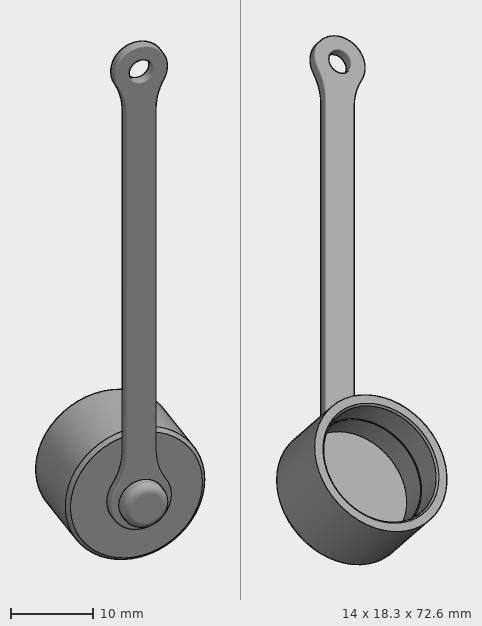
import cadquery as cq
import math

cap_diameter = 18.26
cap_length = 10.4
cap_end_chamfer = 0.5
bore_diameter = 15.2
bore_depth = 7.6
counterbore_diameter = 15.5
counterbore_depth = 4.0
mouth_chamfer = 0.25

strap_thickness = 1.5
strap_width = 4.0
strap_edge_fillet = 0.2
eye_spacing = 60.0
rivet_eye_radius = 4.0
free_eye_radius = 3.5
neck_radius = 8.0
free_hole_diameter = 3.0

shank_diameter = 3.0
strap_clearance = 0.1
head_diameter = 6.0
overall_length = 14.0
head_edge_radius = 1.0

strap_start = cap_length + strap_clearance
strap_end = strap_start + strap_thickness
head_start = strap_end + strap_clearance


def disc(diameter, start, end):
    """Cylinder on the X axis between two X positions."""
    return cq.Workplane("YZ", origin=(start, 0, 0)).circle(diameter / 2).extrude(end - start)


def make_cap():
    cap = disc(cap_diameter, 0, cap_length).faces(">X").chamfer(cap_end_chamfer)
    bore_radius = bore_diameter / 2
    counterbore_radius = counterbore_diameter / 2
    bore = (
        cq.Workplane("XY")
        .lineTo(0, counterbore_radius + mouth_chamfer)
        .lineTo(mouth_chamfer, counterbore_radius)
        .lineTo(counterbore_depth, counterbore_radius)
        .lineTo(counterbore_depth, bore_radius)
        .lineTo(bore_depth, bore_radius)
        .lineTo(bore_depth, 0)
        .close()
        .revolve(360, (0, 0, 0), (1, 0, 0))
    )
    return cap.cut(bore)


def neck_points(eye_radius):
    """Where the concave neck arc meets the eye, its middle, and where it meets the band.

    Each point is (half width, distance from the eye centre).
    """
    half_width = strap_width / 2
    center_offset = half_width + neck_radius
    center_height = math.sqrt((eye_radius + neck_radius) ** 2 - center_offset ** 2)
    share = eye_radius / (eye_radius + neck_radius)
    on_eye = (center_offset * share, center_height * share)
    on_band = (half_width, center_height)
    half_angle = math.atan2(center_height, center_offset) / 2
    middle = (
        center_offset - neck_radius * math.cos(half_angle),
        center_height - neck_radius * math.sin(half_angle),
    )
    return on_eye, middle, on_band


def make_strap():
    low_eye, low_middle, low_band = neck_points(rivet_eye_radius)
    top_eye, top_middle, top_band = neck_points(free_eye_radius)

    def low(point, side):
        return (side * point[0], point[1])

    def top(point, side):
        return (side * point[0], eye_spacing - point[1])

    strap = (
        cq.Workplane("YZ", origin=(strap_start, 0, 0))
        .moveTo(*low(low_eye, 1))
        .threePointArc(low(low_middle, 1), low(low_band, 1))
        .lineTo(*top(top_band, 1))
        .threePointArc(top(top_middle, 1), top(top_eye, 1))
        .threePointArc((0, eye_spacing + free_eye_radius), top(top_eye, -1))
        .threePointArc(top(top_middle, -1), top(top_band, -1))
        .lineTo(*low(low_band, -1))
        .threePointArc(low(low_middle, -1), low(low_eye, -1))
        .threePointArc((0, -rivet_eye_radius), low(low_eye, 1))
        .close()
        .extrude(strap_thickness)
    )
    free_hole = disc(free_hole_diameter, strap_start, strap_end).translate((0, 0, eye_spacing))
    strap = strap.cut(free_hole).faces("<X or >X").fillet(strap_edge_fillet)
    return strap.cut(disc(shank_diameter, strap_start, strap_end))


def make_rivet():
    head = disc(head_diameter, head_start, overall_length).faces(">X").edges().fillet(head_edge_radius)
    return head.union(disc(shank_diameter, cap_length, head_start))


cap = make_cap()
strap = make_strap()
rivet = make_rivet()

result = cq.Compound.makeCompound([cap.val(), strap.val(), rivet.val()])